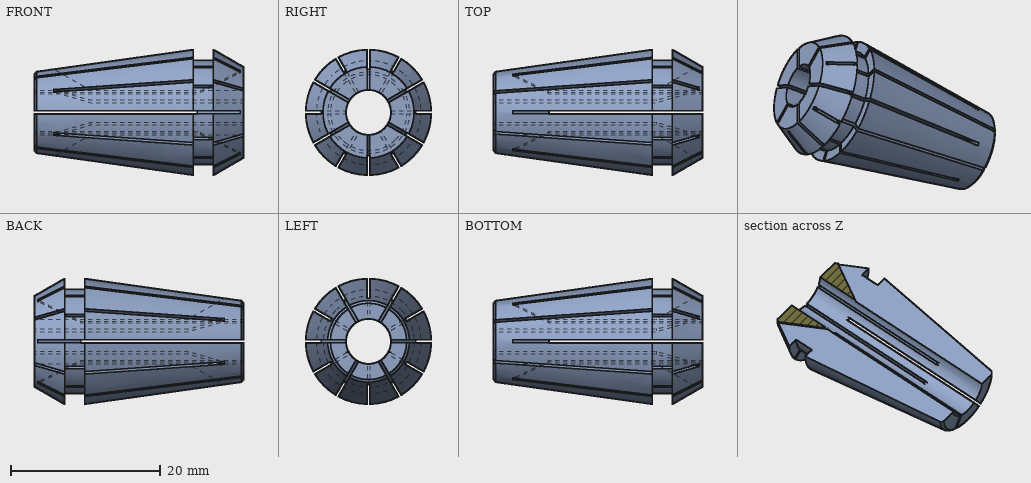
import cadquery as cq
import math


length = 28.0
rim_radius = 8.4225
bore_radius = 3.0
taper_angle = 8.0
nose_angle = 30.0
chamfer_length = 0.3
chamfer_depth = 0.37

groove_start = 21.28
groove_width = 2.7
groove_radius = 7.0
groove_end = groove_start + groove_width

slot_width = 0.4
slots_per_set = 6
slot_pitch = 360.0 / slots_per_set
ramp_angle = 30.0
rear_ramp_start = 21.8
front_ramp_start = 7.45
clearance = 1.0


def make_body():
    """Revolve the collet profile, bore included, about the X axis."""
    taper_run = groove_start - chamfer_length
    taper_end_radius = rim_radius - taper_run * math.tan(math.radians(taper_angle))
    nose_radius = rim_radius - (length - groove_end) * math.tan(math.radians(nose_angle))
    profile = [
        (0, bore_radius),
        (0, taper_end_radius - chamfer_depth),
        (chamfer_length, taper_end_radius),
        (groove_start, rim_radius),
        (groove_start, groove_radius),
        (groove_end, groove_radius),
        (groove_end, rim_radius),
        (length, nose_radius),
        (length, bore_radius),
    ]
    return cq.Workplane("XY").polyline(profile).close().revolve(360, (0, 0, 0), (1, 0, 0))


def make_slot(open_end, ramp_start, direction):
    """Cutter along +Y: opens at open_end, runs in the X direction given, floor ramping up from the bore."""
    outer_radius = rim_radius + clearance
    ramp_run = outer_radius / math.tan(math.radians(ramp_angle))
    bore_to_axis_run = bore_radius / math.tan(math.radians(ramp_angle))
    open_x = open_end - direction * clearance
    axis_x = ramp_start - direction * bore_to_axis_run
    outline = [
        (open_x, 0),
        (axis_x, 0),
        (axis_x + direction * ramp_run, outer_radius),
        (open_x, outer_radius),
    ]
    return cq.Workplane("XY").polyline(outline).close().extrude(slot_width / 2, both=True)


def cut_slots(body, slot, first_angle):
    """Cut one set of equally spaced slots around the X axis."""
    for index in range(slots_per_set):
        angle = first_angle + index * slot_pitch
        body = body.cut(slot.rotate((0, 0, 0), (1, 0, 0), angle))
    return body


result = make_body()
result = cut_slots(result, make_slot(0, rear_ramp_start, 1), 0)
result = cut_slots(result, make_slot(length, front_ramp_start, -1), slot_pitch / 2)